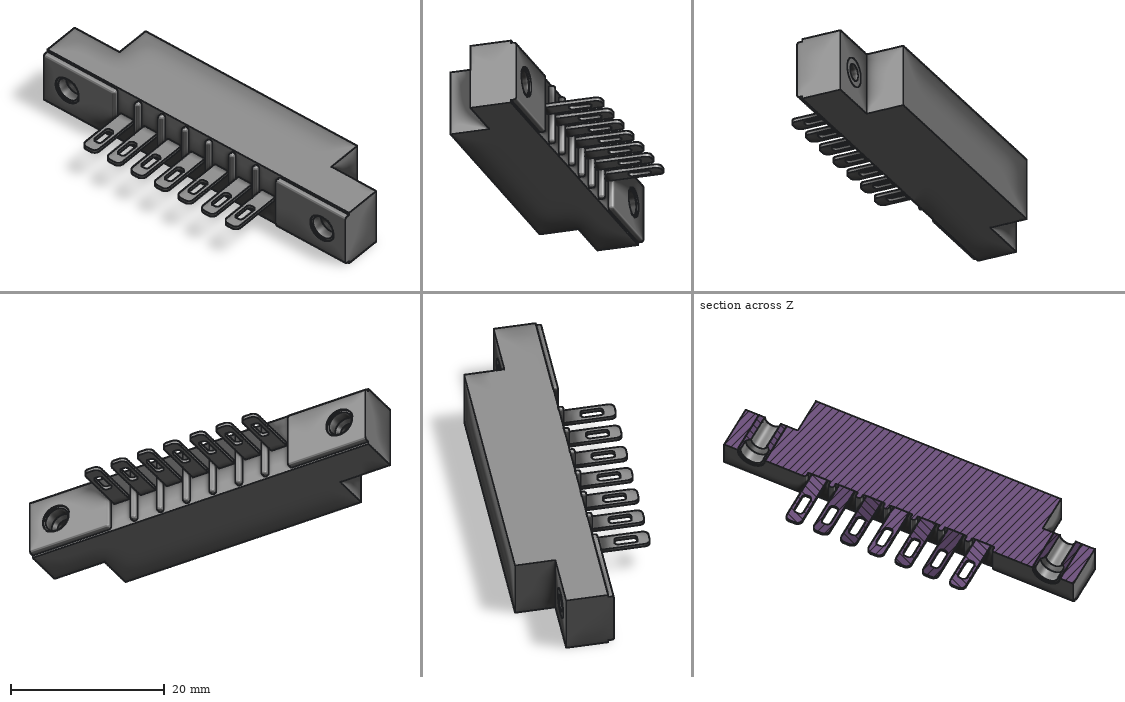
import cadquery as cq

LENGTH = 50.75
HEIGHT = 8.75
EAR_DEPTH = 5.6
BODY_DEPTH = 10.9
STEP_LENGTH = 7.55

PAD_LENGTH = 11.9
RIB_WIDTH = 0.8
RAISED_DEPTH = 0.75
RAISED_INSET = 0.35
RAISED_HEIGHT = HEIGHT - 2 * RAISED_INSET
EDGE_RADIUS = 0.38

CONTACT_COUNT = 7
PITCH = 3.95
CONTACT_WIDTH = 2.3
CONTACT_THICKNESS = 0.5
CONTACT_LENGTH = 7.95
TIP_RADIUS = 0.75
EYE_WIDTH = 1.2
EYE_LENGTH = 3.05
EYE_CORNER_RADIUS = 0.45
EYE_CENTER_FROM_TIP = 3.1

BUSHING_OFFSET = 21.4
BUSHING_OUTER_DIAMETER = 3.95
BUSHING_BORE_DIAMETER = 2.3
BUSHING_RECESS = 0.25
MOUTH_DIAMETER = 3.35
MOUTH_DEPTH = 1.5
TAPER_DEPTH = 0.55

PAD_FACE_Y = -RAISED_DEPTH
BUSHING_XS = (-BUSHING_OFFSET, BUSHING_OFFSET)


def centered_positions(count):
    """X positions of a row of items at the contact pitch, centered on X = 0."""
    return [(i - (count - 1) / 2) * PITCH for i in range(count)]


def front_block(center_x, width):
    """Block standing on the front face, as high as the pads and ribs."""
    return (
        cq.Workplane("XZ", origin=(center_x, 0, 0))
        .rect(width, RAISED_HEIGHT)
        .extrude(RAISED_DEPTH)
    )


def make_pad():
    """Left end pad, rounded on its front edges and inner corners but square at its outer end."""
    pad = front_block((PAD_LENGTH - LENGTH) / 2, PAD_LENGTH)
    inner_corners = pad.faces(">X").edges("|Y")
    front_edges = pad.faces("<Y").edges("|X or >X")
    return inner_corners.add(front_edges).fillet(EDGE_RADIUS)


def make_rib(x):
    """Divider rib, rounded on all its front edges and corners."""
    rib = front_block(x, RIB_WIDTH)
    corners = rib.edges("|Y")
    front_edges = rib.faces("<Y").edges()
    return corners.add(front_edges).fillet(EDGE_RADIUS)


def make_housing():
    block_length = LENGTH - 2 * STEP_LENGTH
    housing = cq.Workplane("XY").box(LENGTH, EAR_DEPTH, HEIGHT, centered=(True, False, True))
    housing = housing.union(
        cq.Workplane("XY").box(block_length, BODY_DEPTH, HEIGHT, centered=(True, False, True))
    )
    pad = make_pad()
    housing = housing.union(pad).union(pad.mirror("YZ"))
    for x in centered_positions(CONTACT_COUNT - 1):
        housing = housing.union(make_rib(x))
    for x in BUSHING_XS:
        hole = (
            cq.Workplane("XZ", origin=(x, EAR_DEPTH, 0))
            .circle(BUSHING_OUTER_DIAMETER / 2)
            .extrude(EAR_DEPTH + RAISED_DEPTH)
        )
        housing = housing.cut(hole)
    return housing


def make_bushing(x):
    """Sleeve whose wide front mouth tapers down to a through bore."""
    front_y = PAD_FACE_Y + BUSHING_RECESS
    bore_radius = BUSHING_BORE_DIAMETER / 2
    profile = [
        (bore_radius, EAR_DEPTH),
        (BUSHING_OUTER_DIAMETER / 2, EAR_DEPTH),
        (BUSHING_OUTER_DIAMETER / 2, front_y),
        (MOUTH_DIAMETER / 2, front_y),
        (MOUTH_DIAMETER / 2, front_y + MOUTH_DEPTH),
        (bore_radius, front_y + MOUTH_DEPTH + TAPER_DEPTH),
    ]
    return (
        cq.Workplane("XY")
        .polyline(profile)
        .close()
        .revolve(360, (0, 0, 0), (0, 1, 0))
        .translate((x, 0, 0))
    )


def make_contact(x):
    """Flat lug butting on the front face, with a rounded tip and a wire eye."""
    lug = (
        cq.Workplane("XY")
        .box(CONTACT_WIDTH, CONTACT_LENGTH, CONTACT_THICKNESS)
        .translate((x, -CONTACT_LENGTH / 2, 0))
    )
    lug = lug.faces("<Y").edges("|Z").fillet(TIP_RADIUS)
    eye = (
        cq.Workplane("XY", origin=(x, EYE_CENTER_FROM_TIP - CONTACT_LENGTH, 0))
        .box(EYE_WIDTH, EYE_LENGTH, CONTACT_THICKNESS)
        .edges("|Z")
        .fillet(EYE_CORNER_RADIUS)
    )
    return lug.cut(eye)


housing = make_housing()
bushings = [make_bushing(x) for x in BUSHING_XS]
contacts = [make_contact(x) for x in centered_positions(CONTACT_COUNT)]

result = cq.Compound.makeCompound(
    [housing.val()] + [body.val() for body in bushings + contacts]
)